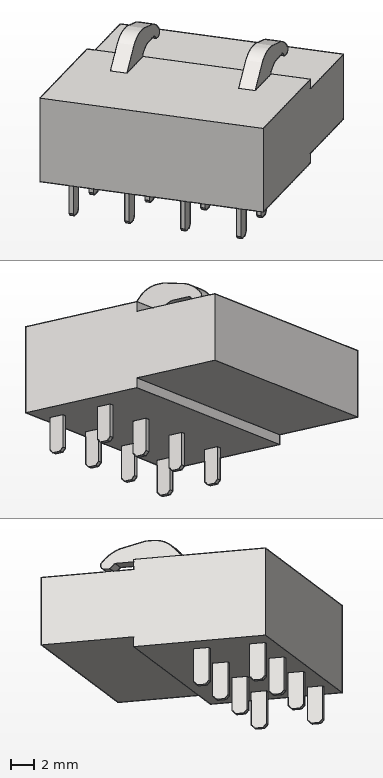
import cadquery as cq


WIDTH = 20.32
DEPTH = 20.25
HEIGHT = 7.72
FRONT_DEPTH = 11.9
STEP = 0.87

LATCH_SPACING = 11.66
LATCH_WIDTH = 1.5
LATCH_HEIGHT = 2.55
LATCH_UNDERSIDE = 0.8
TIP_BOTTOM = 0.37

FRONT_FOOT = (7.86, 0)
RAMP_TOP = (9.65, 1.89)
SHOULDER_MIDDLE = (10.42, 2.35)
CREST_FRONT = (11.32, LATCH_HEIGHT)
CREST_REAR = (12.05, LATCH_HEIGHT)
ARM_START = (12.25, 2.5)
ARM_END = (14.35, 2.05)
BEND_MIDDLE = (15.1, 1.73)
BEND_END = (15.73, 1.25)
NOSE_START = (16.07, 0.91)
NOSE_MIDDLE = (16.11, 0.63)
NOSE_END = (15.77, TIP_BOTTOM)
BARB_END = (15.28, TIP_BOTTOM)
UNDERSIDE_REAR = (14.81, LATCH_UNDERSIDE)
UNDERSIDE_FRONT = (13.0, LATCH_UNDERSIDE)
THROAT_MIDDLE = (12.4, 0.57)
THROAT_END = (FRONT_DEPTH, 0.22)
REAR_FOOT = (FRONT_DEPTH, 0)

PIN_COUNT_X = 4
PIN_ROWS = 2
PIN_PITCH = 5.08
PIN_THICKNESS = 0.4
PIN_WIDTH = 1.38
PIN_LENGTH = 3.21
PIN_CHAMFER = 0.3
FIRST_ROW_Y = 1.52


def make_latch(x_center):
    """Curved hook that rises from the front block and reaches over the rear block."""
    profile = (
        cq.Workplane("YZ", origin=(x_center - LATCH_WIDTH / 2, 0, HEIGHT))
        .moveTo(*FRONT_FOOT)
        .lineTo(*RAMP_TOP)
        .threePointArc(SHOULDER_MIDDLE, CREST_FRONT)
        .lineTo(*CREST_REAR)
        .lineTo(*ARM_START)
        .lineTo(*ARM_END)
        .threePointArc(BEND_MIDDLE, BEND_END)
        .lineTo(*NOSE_START)
        .threePointArc(NOSE_MIDDLE, NOSE_END)
        .lineTo(*BARB_END)
        .lineTo(*UNDERSIDE_REAR)
        .lineTo(*UNDERSIDE_FRONT)
        .threePointArc(THROAT_MIDDLE, THROAT_END)
        .lineTo(*REAR_FOOT)
        .close()
    )
    return profile.extrude(LATCH_WIDTH)


def make_housing():
    """Stepped block carrying both latch hooks."""
    body = (
        cq.Workplane("YZ", origin=(-WIDTH / 2, 0, 0))
        .moveTo(0, 0)
        .lineTo(FRONT_DEPTH, 0)
        .lineTo(FRONT_DEPTH, STEP)
        .lineTo(DEPTH, STEP)
        .lineTo(DEPTH, HEIGHT - STEP)
        .lineTo(FRONT_DEPTH, HEIGHT - STEP)
        .lineTo(FRONT_DEPTH, HEIGHT)
        .lineTo(0, HEIGHT)
        .close()
        .extrude(WIDTH)
    )
    for side in (-1, 1):
        body = body.union(make_latch(side * LATCH_SPACING / 2))
    return body


def make_pin(x_center, y_center):
    """Flat pin hanging from the housing underside, chamfered at its free end."""
    return (
        cq.Workplane("XY", origin=(x_center, y_center, -PIN_LENGTH))
        .box(PIN_THICKNESS, PIN_WIDTH, PIN_LENGTH, centered=(True, True, False))
        .faces("<Z")
        .edges("|X")
        .chamfer(PIN_CHAMFER)
    )


housing = make_housing()

pins = []
for row in range(PIN_ROWS):
    for column in range(PIN_COUNT_X):
        pin_x = (column - (PIN_COUNT_X - 1) / 2) * PIN_PITCH
        pin_y = FIRST_ROW_Y + row * PIN_PITCH
        pins.append(make_pin(pin_x, pin_y).val())

result = cq.Compound.makeCompound([housing.val(), *pins])